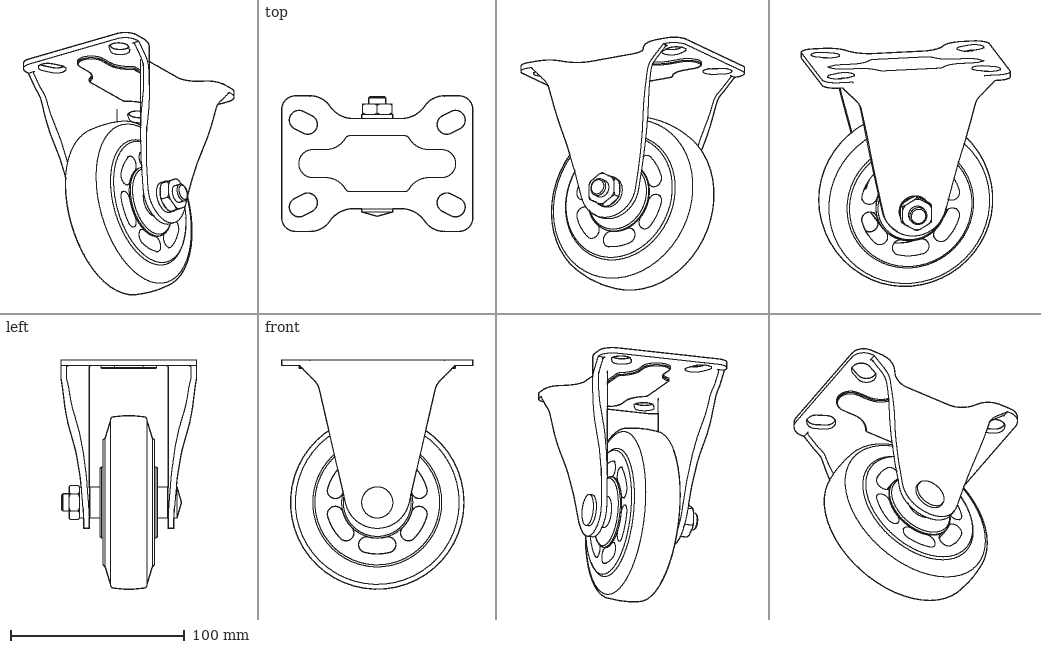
import cadquery as cq
import math


TOP_Z = 81.9
SHEET = 3.3
PLATE_LENGTH = 110.0
PLATE_WIDTH = 78.0
PLATE_CORNER_RADIUS = 8.0
LEG_OUTER_Y = 26.0
LEG_FLAT_HALF = 14.0
FLARE_END_X = 38.5
FLARE_HOLLOW_SHARE = 0.54
BEND_RADIUS = 4.5
BEND_RADIUS_MIDDLE = 2.4
BEND_RADIUS_END = 0.4
INNER_BEND_RADIUS = 1.0

LEG_TIP_RADIUS = 18.7
LEG_TIP_Z = -14.9
LEG_TAPER = 13.0
LEG_FOOT_X = 44.7
LEG_FOOT_ANGLE = 45.0
LEG_FOOT_RADIUS = 11.2

RECESS_HALF_LENGTH = 46.9
RECESS_END_RADIUS = 9.9
RECESS_MIDDLE_X = 16.0
RECESS_NECK_RADIUS = 11.6
RECESS_SHOULDER_RADIUS = 4.4
RECESS_ARC_ANGLE = 60.0
RECESS_RIM_RADIUS = 1.8
RECESS_DEPTH = 2.0
BOSS_DEPTH = 1.6
BOSS_CHAMFER = 0.5

SLOT_X = 42.5
SLOT_Y = 23.7
SLOT_RADIUS = 5.5
SLOT_TRAVEL = 5.5
SLOT_ANGLE = 27.0

WHEEL_RADIUS = 50.0
TREAD_EDGE_RADIUS = 49.3
TREAD_HALF_WIDTH = 8.6
SHOULDER_RADIUS = 47.0
SHOULDER_Y = 10.5
SHOULDER_BULGE = 0.46
RIM_OUTER_RADIUS = 37.0
RIM_FACE_RADIUS = 35.9
RIM_FACE_Y = 14.9
RIM_EDGE_Y = 13.6
HUB_RADIUS = 20.4
HUB_FACE_Y = 16.6
HUB_CHAMFER = 0.9
SPACER_CHAMFER = 0.5

WINDOW_COUNT = 6
WINDOW_PITCH_RADIUS = 25.0
WINDOW_HALF_WIDTH = 4.5
WINDOW_HALF_ANGLE = 14.3

SHANK_RADIUS = 5.0
COLLAR_RADIUS = 9.0
HEAD_RIM = 1.8
HEAD_POINT = 2.5
WASHER_THICKNESS = 2.4
NUT_THICKNESS = 5.9
NUT_ACROSS_FLATS = 17.0
SHANK_END_Y = 38.5
SHANK_CHAMFER = 0.8
NUT_CHAMFER = 0.8

LEG_INNER_Y = LEG_OUTER_Y - SHEET
PLATE_BOTTOM_Z = TOP_Z - SHEET
HALF_LENGTH = PLATE_LENGTH / 2
HALF_WIDTH = PLATE_WIDTH / 2
BLOCK_BOTTOM_Z = LEG_TIP_Z - SHEET
BLOCK_HEIGHT = TOP_Z - BLOCK_BOTTOM_Z


def polar(radius, degrees):
    angle = math.radians(degrees)
    return radius * math.cos(angle), radius * math.sin(angle)



FLARE_RUN = FLARE_END_X - LEG_FLAT_HALF
FLARE_RISE = HALF_WIDTH - LEG_OUTER_Y
FLARE_ANGLE = 2 * math.degrees(math.atan2(FLARE_RISE, FLARE_RUN))
FLARE_RADII = FLARE_RUN / math.sin(math.radians(FLARE_ANGLE))
HOLLOW_RADIUS = FLARE_RADII * FLARE_HOLLOW_SHARE
ROUND_RADIUS = FLARE_RADII - HOLLOW_RADIUS


def s_curve(start, first_radius, second_radius, angle):
    """Points of two tangent arcs that leave start along +X, bend to +Y and end along +X:
    middle of the first arc, joint, middle of the second arc, end."""
    x, y = start
    half = math.radians(angle / 2)
    full = math.radians(angle)
    end_x = x + (first_radius + second_radius) * math.sin(full)
    end_y = y + (first_radius + second_radius) * (1 - math.cos(full))
    return [
        (x + first_radius * math.sin(half), y + first_radius * (1 - math.cos(half))),
        (x + first_radius * math.sin(full), y + first_radius * (1 - math.cos(full))),
        (end_x - second_radius * math.sin(half), end_y - second_radius * (1 - math.cos(half))),
        (end_x, end_y),
    ]


def flared_plan(inset, half_length):
    """Plan outline between the two leg faces, set in from the outer faces by inset."""
    flat_y = LEG_OUTER_Y - inset
    curve = s_curve(
        (LEG_FLAT_HALF, flat_y), HOLLOW_RADIUS + inset, ROUND_RADIUS - inset, FLARE_ANGLE
    )
    edge_y = curve[3][1]
    plan = cq.Workplane("XY").workplane(offset=BLOCK_BOTTOM_Z).moveTo(-LEG_FLAT_HALF, flat_y)
    for side in (1, -1):
        arc_1, joint, arc_2, end = [(side * x, side * y) for x, y in curve]
        back_1, back_joint, back_2, back_end = [(side * x, -side * y) for x, y in curve]
        plan = plan.lineTo(side * LEG_FLAT_HALF, side * flat_y)
        plan = plan.threePointArc(arc_1, joint).threePointArc(arc_2, end)
        if half_length > FLARE_END_X:
            plan = plan.lineTo(side * half_length, side * edge_y)
            plan = plan.lineTo(side * half_length, -side * edge_y)
        plan = plan.lineTo(*back_end).threePointArc(back_2, back_joint)
        plan = plan.threePointArc(back_1, (side * LEG_FLAT_HALF, -side * flat_y))
    return plan.close()


def bend_radius_at(x):
    """Outside bend radius, which fades along the flare."""
    joint_x = LEG_FLAT_HALF + FLARE_RUN * FLARE_HOLLOW_SHARE
    if abs(x) <= joint_x:
        share = max(0.0, abs(x) - LEG_FLAT_HALF) / (joint_x - LEG_FLAT_HALF)
        return BEND_RADIUS + share * (BEND_RADIUS_MIDDLE - BEND_RADIUS)
    share = (abs(x) - joint_x) / (FLARE_END_X - joint_x)
    return BEND_RADIUS_MIDDLE + share * (BEND_RADIUS_END - BEND_RADIUS_MIDDLE)


def round_bends(block):
    """Round the top edges along both legs with the fading bend radius."""
    bends = cq.occ_impl.shapes.BRepFilletAPI_MakeFillet(block.val().wrapped)
    for edge in block.faces(">Z").edges("not |Y").vals():
        start = bend_radius_at(edge.startPoint().x)
        end = bend_radius_at(edge.endPoint().x)
        bends.Add(start, end, edge.wrapped)
    return cq.Workplane(cq.Shape.cast(bends.Shape()))


def bracket_outside():
    """Solid block that fills the bracket's outer faces."""
    middle = round_bends(flared_plan(0, FLARE_END_X).extrude(BLOCK_HEIGHT))
    ends = (
        cq.Workplane("XY")
        .workplane(offset=BLOCK_BOTTOM_Z)
        .rect(PLATE_LENGTH, PLATE_WIDTH)
        .extrude(BLOCK_HEIGHT)
        .edges("|Z")
        .fillet(PLATE_CORNER_RADIUS)
    )
    between = cq.Workplane("XY").box(2 * FLARE_END_X, 2 * PLATE_WIDTH, 4 * TOP_Z)
    return middle.union(ends.cut(between))


def bracket_inside():
    """Space between the legs and under the plate."""
    space = flared_plan(SHEET, PLATE_LENGTH).extrude(BLOCK_HEIGHT - SHEET)
    return space.faces(">Z").edges("not |Y").fillet(INNER_BEND_RADIUS)


def leg_silhouette():
    """Prism along Y that trims the legs: round tip, tapered sides, flared foot, full plate."""
    taper = math.radians(LEG_TAPER)
    foot = math.tan(math.radians(LEG_FOOT_ANGLE))
    tip_centre_z = LEG_TIP_Z + LEG_TIP_RADIUS
    tangent_x = LEG_TIP_RADIUS * math.cos(taper)
    tangent_z = tip_centre_z - LEG_TIP_RADIUS * math.sin(taper)
    slope = math.tan(taper)
    knee_z = (LEG_FOOT_X - foot * PLATE_BOTTOM_Z - tangent_x + slope * tangent_z) / (slope - foot)
    knee_x = tangent_x + slope * (knee_z - tangent_z)
    prism = (
        cq.Workplane("XZ")
        .moveTo(-tangent_x, tangent_z)
        .threePointArc((0, LEG_TIP_Z), (tangent_x, tangent_z))
        .lineTo(knee_x, knee_z)
        .lineTo(LEG_FOOT_X, PLATE_BOTTOM_Z)
        .lineTo(HALF_LENGTH, PLATE_BOTTOM_Z)
        .lineTo(HALF_LENGTH, TOP_Z)
        .lineTo(-HALF_LENGTH, TOP_Z)
        .lineTo(-HALF_LENGTH, PLATE_BOTTOM_Z)
        .lineTo(-LEG_FOOT_X, PLATE_BOTTOM_Z)
        .lineTo(-knee_x, knee_z)
        .close()
        .extrude(HALF_WIDTH, both=True)
    )
    knees = cq.selectors.BoxSelector(
        (-knee_x - SHEET, -SHEET, knee_z - SHEET), (knee_x + SHEET, SHEET, knee_z + SHEET)
    )
    return prism.edges("|Y").edges(knees).fillet(LEG_FOOT_RADIUS)


def recess_plan(height, inset):
    """Outline of the pressed panel, set in by inset."""
    end_radius = RECESS_END_RADIUS - inset
    end_centre_x = RECESS_HALF_LENGTH - RECESS_END_RADIUS
    neck_radius = RECESS_NECK_RADIUS + inset
    shoulder_radius = RECESS_SHOULDER_RADIUS - inset
    turn = math.radians(RECESS_ARC_ANGLE)
    neck_x = RECESS_MIDDLE_X + (neck_radius + shoulder_radius) * math.sin(turn)
    curve = s_curve((-neck_x, end_radius), neck_radius, shoulder_radius, RECESS_ARC_ANGLE)
    plan = cq.Workplane("XY").workplane(offset=height).moveTo(*curve[3])
    for side in (1, -1):
        arc_1, joint, arc_2, shoulder = [(-side * x, side * y) for x, y in curve]
        back_1, back_joint, back_2, back_shoulder = [(-side * x, -side * y) for x, y in curve]
        plan = plan.lineTo(*shoulder).threePointArc(arc_2, joint)
        plan = plan.threePointArc(arc_1, (side * neck_x, side * end_radius))
        plan = plan.lineTo(side * end_centre_x, side * end_radius)
        plan = plan.threePointArc(
            (side * (end_centre_x + end_radius), 0), (side * end_centre_x, -side * end_radius)
        )
        plan = plan.lineTo(side * neck_x, -side * end_radius).threePointArc(back_1, back_joint)
        plan = plan.threePointArc(back_2, back_shoulder)
    return plan.close()


def press_recess(sheet):
    """Press a round-rimmed hollow into the plate's top, with a boss on its underside."""
    boss = recess_plan(PLATE_BOTTOM_Z, RECESS_RIM_RADIUS).extrude(-BOSS_DEPTH)
    boss = boss.faces("<Z").chamfer(BOSS_CHAMFER)
    hollow = recess_plan(TOP_Z, RECESS_RIM_RADIUS).extrude(-RECESS_DEPTH)
    reach_y = LEG_OUTER_Y - BEND_RADIUS - SHEET / 2
    rim = cq.selectors.BoxSelector(
        (-RECESS_HALF_LENGTH, -reach_y, TOP_Z - RECESS_DEPTH / 2),
        (RECESS_HALF_LENGTH, reach_y, TOP_Z + RECESS_DEPTH / 2),
    )
    pressed = sheet.union(boss).cut(hollow)
    return pressed.faces(">Z").edges(rim).fillet(RECESS_RIM_RADIUS)


def mounting_slots():
    """Four slots through the plate, pointing roughly at its middle."""
    slots = cq.Workplane("XY")
    for side_x in (-1, 1):
        for side_y in (-1, 1):
            slot = (
                cq.Workplane("XY")
                .workplane(offset=PLATE_BOTTOM_Z - SHEET)
                .center(side_x * SLOT_X, side_y * SLOT_Y)
                .slot2D(SLOT_TRAVEL + 2 * SLOT_RADIUS, 2 * SLOT_RADIUS, side_x * side_y * SLOT_ANGLE)
                .extrude(3 * SHEET)
            )
            slots = slots.add(slot)
    return slots.combine()


def cylinder_y(radius, start_y, end_y):
    """Cylinder on the axle axis."""
    return cq.Workplane("XZ", origin=(0, start_y, 0)).circle(radius).extrude(start_y - end_y)


def build_bracket():
    """Folded sheet: the mounting plate with two flared legs that carry the axle."""
    sheet = bracket_outside().cut(bracket_inside()).intersect(leg_silhouette())
    sheet = press_recess(sheet).cut(mounting_slots())
    return sheet.cut(cylinder_y(SHANK_RADIUS, -HALF_WIDTH, HALF_WIDTH)).solids()



def wheel_window(angle):
    """Kidney-shaped window through the wheel disc, centred on the given angle."""
    inner = WINDOW_PITCH_RADIUS - WINDOW_HALF_WIDTH
    outer = WINDOW_PITCH_RADIUS + WINDOW_HALF_WIDTH
    first = angle - WINDOW_HALF_ANGLE
    last = angle + WINDOW_HALF_ANGLE
    first_x, first_z = polar(WINDOW_PITCH_RADIUS, first)
    last_x, last_z = polar(WINDOW_PITCH_RADIUS, last)
    reach_x, reach_z = polar(WINDOW_HALF_WIDTH, last + 90)
    back_x, back_z = polar(WINDOW_HALF_WIDTH, first - 90)
    return (
        cq.Workplane("XZ")
        .moveTo(*polar(outer, first))
        .threePointArc(polar(outer, angle), polar(outer, last))
        .threePointArc((last_x + reach_x, last_z + reach_z), polar(inner, last))
        .threePointArc(polar(inner, angle), polar(inner, first))
        .threePointArc((first_x + back_x, first_z + back_z), polar(outer, first))
        .close()
        .extrude(HUB_FACE_Y, both=True)
    )


def build_wheel():
    """Tyre, rim, hub and spacers, turned about the axle, with windows through the disc."""
    side = [
        (SHANK_RADIUS, LEG_INNER_Y),
        (COLLAR_RADIUS - SPACER_CHAMFER, LEG_INNER_Y),
        (COLLAR_RADIUS, LEG_INNER_Y - SPACER_CHAMFER),
        (COLLAR_RADIUS, HUB_FACE_Y),
        (HUB_RADIUS - HUB_CHAMFER, HUB_FACE_Y),
        (HUB_RADIUS, HUB_FACE_Y - HUB_CHAMFER),
        (HUB_RADIUS, RIM_FACE_Y),
        (RIM_FACE_RADIUS, RIM_FACE_Y),
        (RIM_OUTER_RADIUS, RIM_EDGE_Y),
        (SHOULDER_RADIUS, SHOULDER_Y),
    ]
    far_side = [(radius, -y) for radius, y in reversed(side)]
    bulge = (
        (SHOULDER_RADIUS + TREAD_EDGE_RADIUS) / 2 + SHOULDER_BULGE,
        (SHOULDER_Y + TREAD_HALF_WIDTH) / 2 + SHOULDER_BULGE,
    )
    turned = (
        cq.Workplane("XY")
        .polyline(side)
        .threePointArc(bulge, (TREAD_EDGE_RADIUS, TREAD_HALF_WIDTH))
        .threePointArc((WHEEL_RADIUS, 0), (TREAD_EDGE_RADIUS, -TREAD_HALF_WIDTH))
        .threePointArc((bulge[0], -bulge[1]), far_side[0])
    )
    for point in far_side[1:]:
        turned = turned.lineTo(*point)
    wheel = turned.close().revolve(360, (0, 0, 0), (0, 1, 0))
    for index in range(WINDOW_COUNT):
        wheel = wheel.cut(wheel_window(90 + index * 360 / WINDOW_COUNT))
    return wheel.solids()



def build_axle():
    """Bolt with a pointed head, a washer and a nut."""
    head_base = -LEG_OUTER_Y
    washer_end = LEG_OUTER_Y + WASHER_THICKNESS
    nut_end = washer_end + NUT_THICKNESS
    turned = (
        cq.Workplane("XY")
        .moveTo(0, head_base - HEAD_RIM - HEAD_POINT)
        .lineTo(COLLAR_RADIUS, head_base - HEAD_RIM)
        .lineTo(COLLAR_RADIUS, head_base)
        .lineTo(SHANK_RADIUS, head_base)
        .lineTo(SHANK_RADIUS, LEG_OUTER_Y)
        .lineTo(COLLAR_RADIUS, LEG_OUTER_Y)
        .lineTo(COLLAR_RADIUS, washer_end)
        .lineTo(SHANK_RADIUS, washer_end)
        .lineTo(SHANK_RADIUS, SHANK_END_Y - SHANK_CHAMFER)
        .lineTo(SHANK_RADIUS - SHANK_CHAMFER, SHANK_END_Y)
        .lineTo(0, SHANK_END_Y)
        .close()
        .revolve(360, (0, 0, 0), (0, 1, 0))
    )
    across_corners = NUT_ACROSS_FLATS / math.cos(math.radians(30))
    nut = (
        cq.Workplane("XZ", origin=(0, washer_end, 0))
        .transformed(rotate=(0, 0, 90))
        .polygon(6, across_corners)
        .extrude(-NUT_THICKNESS)
    )
    rounding = cylinder_y(across_corners / 2, washer_end, nut_end).faces("<Y or >Y").chamfer(NUT_CHAMFER)
    return turned.union(nut.intersect(rounding)).solids()


bracket = build_bracket()
wheel = build_wheel()
axle = build_axle()
result = cq.Compound.makeCompound([bracket.val(), wheel.val(), axle.val()])